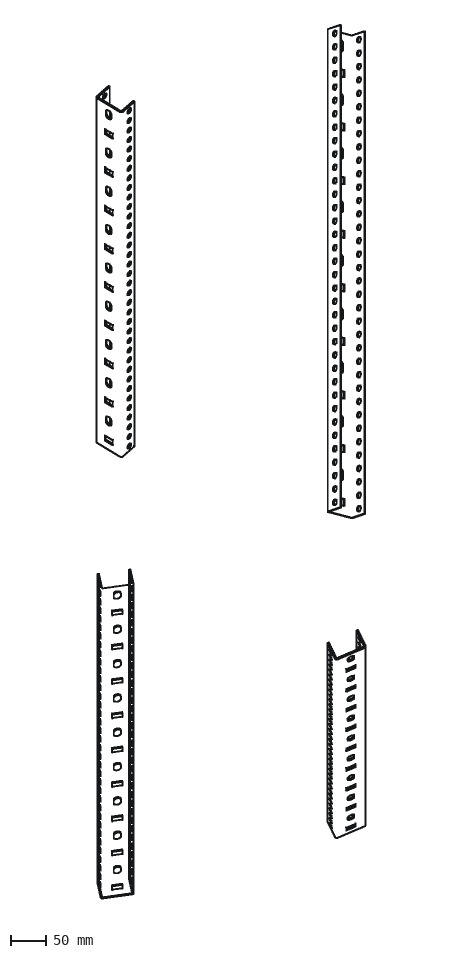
import cadquery as cq

length = 720.0
width = 48.0
depth = 29.0
thickness = 2.5
inner_bend_radius = 0.5
outer_bend_radius = inner_bend_radius + thickness

web_pitch = 40.0
web_end_distance = web_pitch / 2
slot_length = 17.5
slot_width = 10.5
rectangle_width = 15.0
rectangle_height = slot_width

flange_hole_diameter = 8.5
flange_hole_pitch = 20.0
flange_hole_end_distance = flange_hole_pitch / 2
flange_hole_tip_distance = 11.5


def row_positions(pitch, end_distance):
    """Heights of an evenly spaced row that fills the channel length."""
    count = round((length - 2 * end_distance) / pitch) + 1
    return [end_distance + index * pitch for index in range(count)]


def rounded_block(block_width, block_front, bend_radius):
    """Full-length block reaching back to the flange tips, with its two -Y edges rounded."""
    block_depth = depth - block_front
    return (
        cq.Workplane("XY")
        .center(0, block_front + block_depth / 2)
        .rect(block_width, block_depth)
        .extrude(length)
        .edges("|Z and <Y")
        .fillet(bend_radius)
    )


def channel():
    """Plain bent U-channel standing on Z = 0."""
    outside = rounded_block(width, 0, outer_bend_radius)
    inside = rounded_block(width - 2 * thickness, thickness, inner_bend_radius)
    return outside.cut(inside)


def web_plane(heights):
    """Sketch plane on the outer web face with a point at every height."""
    return cq.Workplane("XZ").pushPoints([(0, height) for height in heights])


def web_cutouts():
    """Alternating rectangles and upright slots cut through the web."""
    heights = row_positions(web_pitch, web_end_distance)
    rectangles = web_plane(heights[0::2]).rect(rectangle_width, rectangle_height).extrude(-thickness)
    slots = web_plane(heights[1::2]).slot2D(slot_length, slot_width, 90).extrude(-thickness)
    return rectangles.union(slots)


def flange_holes():
    """Row of round pins spanning both flanges."""
    hole_y = depth - flange_hole_tip_distance
    heights = row_positions(flange_hole_pitch, flange_hole_end_distance)
    return (
        cq.Workplane("YZ")
        .pushPoints([(hole_y, height) for height in heights])
        .circle(flange_hole_diameter / 2)
        .extrude(width / 2, both=True)
    )


result = channel().cut(web_cutouts()).cut(flange_holes())